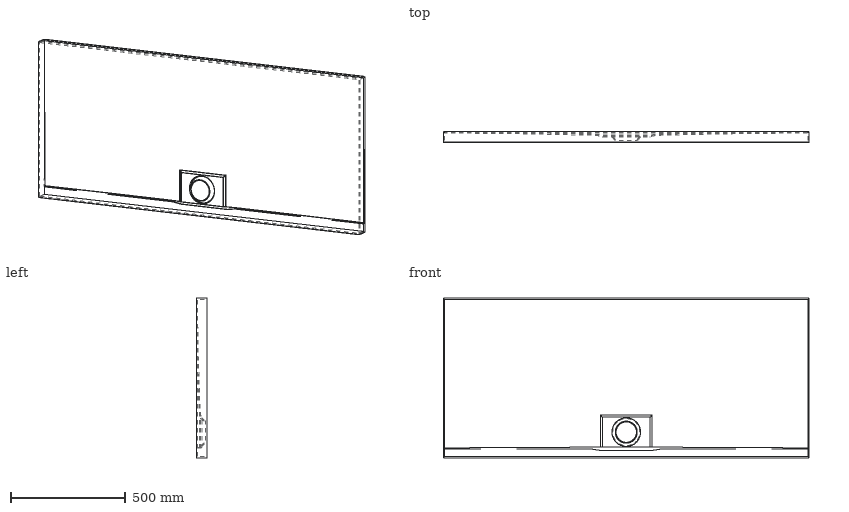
import cadquery as cq

length = 1600.0
depth = 48.0
height = 700.0

wall = 6.0
shell = 5.0
corner_round = 8.0
edge_round = 5.0

half_inner = length / 2 - wall
inner_top = height - wall
inner_bottom = wall

edge_depth = depth - shell
crest_depth = 42.0
bend_depth = 40.0
low_edge_depth = 38.0
surround_depth = 32.0
base_depth = 29.0
plate_depth = 24.0
spout_depth = 8.0

crest_x, crest_z = -373.0, 366.0
top_crease_x = -400.0
side_crease_z = 371.0
bend_z = 462.0
low_crease_x = -477.0
upper_crease_via = (-205.0, bend_depth, 425.0)
lower_crease_via = (-458.0, bend_depth, 166.0)
floor_bottom = 48.0
low_crease_z = 46.0
low_corner_z = 45.0

surround_half_width = 155.0
surround_top = 227.0
surround_corner_x, surround_corner_z = -131.0, 198.0
base_half_width = 114.0
base_top = 189.0
plate_half_width = 104.0
plate_top = 180.0
spout_z = 114.0
spout_base_radius = 62.0
spout_tip_radius = 48.0
spout_wall = 3.0

strip_top = 40.0
strip_top_at_drain = 34.0
strip_lean = 2.0
ramp_outer_x = -685.0
ramp_inner_x = -637.0


def point(x, y, z):
    return cq.Vector(x, y, z)


def line(start, end):
    return cq.Edge.makeLine(start, end)


def arc(start, middle, end):
    return cq.Edge.makeThreePointArc(start, middle, end)


def panel(edge_a, edge_b):
    """Floor panel ruled between two edges that run the same way, thickened towards +Y."""
    face = cq.Face.makeRuledSurface(edge_a, edge_b)
    return cq.Solid.extrudeLinear(face, cq.Vector(0, shell, 0))


def quad(a, b, c, d):
    """Floor panel with four straight sides, corners in order around it."""
    return panel(line(a, b), line(d, c))


top_corner = point(-half_inner, edge_depth, inner_top)
top_crease = point(top_crease_x, edge_depth, inner_top)
top_middle = point(0, edge_depth, inner_top)
side_crease = point(-half_inner, edge_depth, side_crease_z)
crest = point(crest_x, crest_depth, crest_z)
bend = point(0, bend_depth, bend_z)
low_corner = point(-half_inner, crest_depth, low_corner_z)
low_crease = point(low_crease_x, low_edge_depth, low_crease_z)

surround_peak = point(0, surround_depth, surround_top)
surround_corner = point(surround_corner_x, surround_depth, surround_corner_z)
surround_foot = point(-surround_half_width, surround_depth, floor_bottom)

base_peak = point(0, base_depth, base_top)
base_corner = point(-base_half_width, base_depth, base_top)
base_foot = point(-base_half_width, base_depth, floor_bottom)
plate_peak = point(0, plate_depth, plate_top)
plate_corner = point(-plate_half_width, plate_depth, plate_top)
plate_foot = point(-plate_half_width, plate_depth, floor_bottom)
plate_middle = point(0, plate_depth, floor_bottom)

upper_arc = arc(crest, point(*upper_crease_via), bend)
lower_arc = arc(crest, point(*lower_crease_via), low_crease)


def surround_curve(end, stations):
    """Smooth edge of the drain surround from its corner to `end`."""
    between = [point(x, surround_depth, z) for x, z in stations]
    return cq.Edge.makeSpline([surround_corner] + between + [end])


surround_top_curve = surround_curve(surround_peak, [(-118.0, 211.0), (-100.0, 218.0), (-51.0, 224.0)])
surround_side_curve = surround_curve(surround_foot, [(-140.0, 187.0), (-144.0, 170.0), (-149.0, 120.0)])


def floor_panels():
    return [
        quad(top_corner, top_crease, crest, side_crease),
        panel(upper_arc, line(top_crease, top_middle)),
        panel(lower_arc, line(side_crease, low_corner)),
        panel(upper_arc, surround_top_curve),
        panel(lower_arc, surround_side_curve),
    ]


def drain_box_panels():
    return [
        panel(surround_top_curve, line(base_corner, base_peak)),
        panel(surround_side_curve, line(base_corner, base_foot)),
        quad(base_corner, base_peak, plate_peak, plate_corner),
        quad(base_corner, base_foot, plate_foot, plate_corner),
        quad(plate_corner, plate_peak, plate_middle, plate_foot),
    ]


def on_low_edge(x):
    """Point of the lower floor edge between its corner and the curved crease."""
    share = (x - low_corner.x) / (low_crease.x - low_corner.x)
    return low_corner + (low_crease - low_corner) * share


def threshold_panels():
    """Slope below the floor and the narrow strip between that slope and the rim."""
    floor_edge = [
        low_corner,
        on_low_edge(ramp_outer_x),
        on_low_edge(ramp_inner_x),
        low_crease,
        surround_foot,
        base_foot,
        plate_foot,
        plate_middle,
    ]
    strip_height = strip_top - inner_bottom
    strip_edge = []
    for foot in floor_edge:
        beside_drain = foot.x >= base_foot.x
        beyond_ramp = foot.x <= ramp_outer_x
        strip_z = strip_top_at_drain if beside_drain else strip_top
        lean = 0 if beyond_ramp else strip_lean * (strip_z - inner_bottom) / strip_height
        strip_edge.append(point(foot.x, edge_depth - lean, strip_z))
    rim_edge = [point(foot.x, edge_depth, inner_bottom) for foot in floor_edge]

    panels = []
    for upper, lower in ((floor_edge, strip_edge), (strip_edge, rim_edge)):
        for i in range(len(upper) - 1):
            panels.append(quad(upper[i], upper[i + 1], lower[i + 1], lower[i]))
    return panels


def make_rim():
    outer = (
        cq.Workplane("XY")
        .box(length, depth, height, centered=(True, False, False))
        .edges("|Y").fillet(corner_round)
        .faces(">Y").edges().fillet(edge_round)
    )
    cavity = (
        cq.Workplane("XY")
        .box(2 * half_inner, depth, height - 2 * wall, centered=(True, False, False))
        .translate((0, 0, wall))
    )
    return outer.cut(cavity)


def make_spout():
    """Hollow cone that narrows towards -Y."""
    profile = [
        (spout_base_radius, plate_depth),
        (spout_tip_radius, spout_depth),
        (spout_tip_radius - spout_wall, spout_depth),
        (spout_base_radius - spout_wall, plate_depth + shell),
        (spout_base_radius, plate_depth + shell),
    ]
    return (
        cq.Workplane("XY")
        .polyline(profile).close()
        .revolve(360, (0, 0), (0, 1))
        .translate((0, 0, spout_z))
    )


def make_drain_opening():
    return (
        cq.Workplane("XZ", origin=(0, 0, spout_z))
        .circle(spout_base_radius - spout_wall / 2)
        .extrude(-depth)
    )


half_floor = cq.Workplane("XY")
for floor_panel in floor_panels() + drain_box_panels() + threshold_panels():
    half_floor = half_floor.union(cq.Workplane(floor_panel), clean=False)

tray_floor = half_floor.union(half_floor.mirror("YZ"), clean=False).cut(make_drain_opening())
tray = make_rim().union(tray_floor).union(make_spout())
result = cq.Workplane(tray.solids().val())